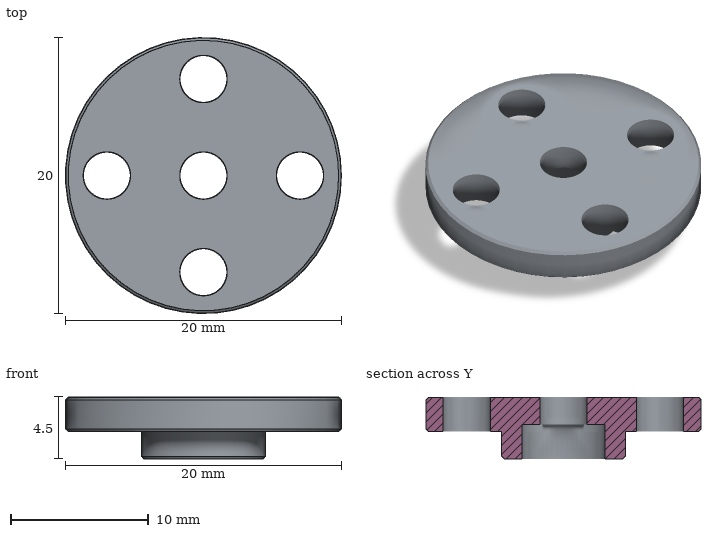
import cadquery as cq

flange_diameter = 20.0
flange_thickness = 2.5

boss_diameter = 9.0
boss_height = 2.0

edge_chamfer = 0.2

hole_diameter = 3.4
mounting_circle_radius = 7.0
mounting_hole_count = 4
hole_chamfer = 0.02

recess_diameter = 6.0
bore_length = 2.0


def make_flange():
    """Disc with both rims chamfered, its lower face on Z = 0."""
    disc = cq.Workplane("XY").circle(flange_diameter / 2).extrude(flange_thickness)
    return disc.edges().chamfer(edge_chamfer)


def make_boss():
    """Round boss hanging below the flange, chamfered at its free end."""
    boss = cq.Workplane("XY").circle(boss_diameter / 2).extrude(-boss_height)
    return boss.faces("<Z").edges().chamfer(edge_chamfer)


def make_hole_cutter():
    """Through cutter on the Z axis, flared where it meets the flange's top face."""
    radius = hole_diameter / 2
    profile = [
        (0, -boss_height),
        (radius, -boss_height),
        (radius, flange_thickness - hole_chamfer),
        (radius + hole_chamfer, flange_thickness),
        (0, flange_thickness),
    ]
    return cq.Workplane("XZ").polyline(profile).close().revolve(360, (0, 0), (0, 1))


def make_recess():
    """Cutter for the recess, leaving the narrow bore its length below the top face."""
    recess_depth = flange_thickness + boss_height - bore_length
    base = cq.Workplane("XY").workplane(offset=-boss_height)
    return base.circle(recess_diameter / 2).extrude(recess_depth)


result = make_flange().union(make_boss())
hole_cutter = make_hole_cutter()
result = result.cut(hole_cutter).cut(make_recess())

for index in range(mounting_hole_count):
    angle = 360 / mounting_hole_count * index
    mounting_hole = hole_cutter.translate((mounting_circle_radius, 0, 0))
    result = result.cut(mounting_hole.rotate((0, 0, 0), (0, 0, 1), angle))